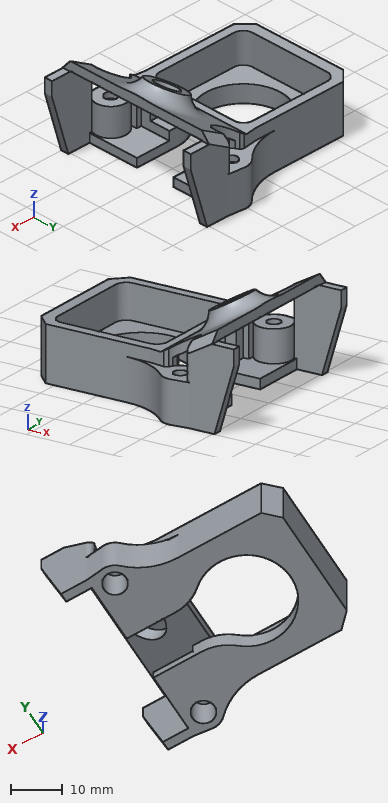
import cadquery as cq
import math

box_length = 30.0
box_width = 30.0
box_height = 12.35
corner_chamfer = 3.1
wall_x = 2.8
cavity_size = 25.4
cavity_radius = 2.5
cavity_floor = 4.5
cavity_center = wall_x + cavity_size / 2
cavity_end = wall_x + cavity_size

opening_radius = 10.0
neck_half_width = 5.0
neck_blend_radius = 10.0

slope = math.radians(30)
plate_thickness = 2.0
plate_end = 45.0
half_width = 20.0
wing_thickness = 2.0
wing_inner = half_width - wing_thickness
wing_start = 39.7
wing_end = 50.0
wing_foot = 45.5
wing_corner_height = 15.0
wing_top = 18.6
wing_tip_reach = 0.95
wing_tip_root_y = 18.35

lug_x = 35.35
lug_y = 16.5
lug_radius = 4.0
lug_height = 9.5
lug_hole = 3.0
lug_recess = 5.0
lug_seat = 1.5
lug_blend_radius = 14.95
lug_shoulder_x = 36.2

shoulder_start = 27.2
shoulder_end = (30.8, 15.45)
shoulder_tip = (31.5, 15.15)
notch_start_x = 32.05

lower_floor = 2.25
lower_floor_start = 30.8
passage_half_width = cavity_size / 2 - cavity_radius

boss_x = 38.0
boss_top_radius = 5.0
boss_base_radius = 9.55
boss_height = 3.0
boss_hole = 6.0
boss_recess = 10.0
boss_roof = 2.0
boss_root = 0.5

tall = 30.0
half_box = box_width / 2
plate_drop = plate_thickness / math.cos(slope)


def plate_z(x):
    """Height of the upper plate face at a given X."""
    return box_height + (x - box_length) * math.tan(slope)


def block(x0, x1, half_y, z0, z1):
    """Box symmetric about Y = 0."""
    solid = cq.Workplane("XY").box(x1 - x0, 2 * half_y, z1 - z0, centered=(False, True, False))
    return solid.translate((x0, 0, z0))


def both_sides(half):
    return half.union(half.mirror("XZ"))


def side_prism(points, half_y):
    """Extrude an XZ outline symmetrically about Y = 0."""
    return cq.Workplane("XZ").polyline(points).close().extrude(half_y, both=True)


def lug_circle_y(x, side):
    return lug_y + side * math.sqrt(lug_radius**2 - (x - lug_x) ** 2)


def lug_base():
    """Lower half-outline: concave blend out of the box, round lug, then the wing."""
    reach = lug_radius + lug_blend_radius
    blend_y = half_box + lug_blend_radius
    blend_x = lug_x - math.sqrt(reach**2 - (blend_y - lug_y) ** 2)
    share = lug_radius / reach
    contact = (lug_x + share * (blend_x - lug_x), lug_y + share * (blend_y - lug_y))
    angle = math.atan2(contact[0] - blend_x, blend_y - contact[1]) / 2
    blend_mid = (
        blend_x + lug_blend_radius * math.sin(angle),
        blend_y - lug_blend_radius * math.cos(angle),
    )
    return (
        cq.Workplane("XY")
        .moveTo(blend_x, 0)
        .lineTo(blend_x, half_box)
        .threePointArc(blend_mid, contact)
        .threePointArc((lug_x, lug_y + lug_radius), (lug_shoulder_x, lug_circle_y(lug_shoulder_x, 1)))
        .lineTo(wing_start, half_width)
        .lineTo(wing_start, 0)
        .close()
        .extrude(lug_height)
    )


def upper_half():
    """Prism under the plate, notched around the lug."""
    notch_end_x = lug_x + math.sqrt(lug_radius**2 - (wing_tip_root_y - lug_y) ** 2)
    tip = (wing_start - wing_tip_reach, wing_inner + wing_tip_reach)
    return (
        cq.Workplane("XY")
        .moveTo(shoulder_start, 0)
        .lineTo(shoulder_start, half_box)
        .lineTo(*shoulder_end)
        .threePointArc(shoulder_tip, (notch_start_x, lug_circle_y(notch_start_x, -1)))
        .threePointArc((lug_x, lug_y - lug_radius), (notch_end_x, wing_tip_root_y))
        .threePointArc(tip, (wing_start, half_width))
        .lineTo(wing_end, half_width)
        .lineTo(wing_end, 0)
        .close()
        .extrude(tall)
    )


def side_limits():
    """Side silhouette of the plate and wings."""
    return side_prism(
        [
            (shoulder_start, 0),
            (shoulder_start, box_height),
            (box_length, box_height),
            (plate_end, plate_z(plate_end)),
            (plate_end, wing_top),
            (wing_end, wing_top),
            (wing_end, wing_corner_height),
            (wing_foot, 0),
        ],
        half_width,
    )


def edge_chamfer():
    """Wedge that bevels the long side edge of the sloping plate."""
    plane = cq.Plane((box_length, 0, box_height), (0, 1, 0), (math.cos(slope), 0, math.sin(slope)))
    return (
        cq.Workplane(plane)
        .moveTo(wing_inner, 0)
        .lineTo(half_width, -plate_thickness)
        .lineTo(half_width, 0)
        .close()
        .extrude((plate_end - box_length) / math.cos(slope))
    )


def hollow():
    """Space below the plate; its roof is parallel to the plate."""
    roof = side_prism(
        [
            (cavity_end, 0),
            (cavity_end, plate_z(cavity_end) - plate_drop),
            (plate_end, plate_z(plate_end) - plate_drop),
            (plate_end, tall),
            (wing_end, tall),
            (wing_end, 0),
        ],
        half_width,
    )
    half_cavity = cavity_size / 2
    room = block(cavity_end, lower_floor_start, passage_half_width, cavity_floor, tall)
    room = room.union(block(lower_floor_start, notch_start_x, half_cavity, lower_floor, tall))
    room = room.union(block(notch_start_x, wing_start, wing_inner, lower_floor, tall))
    room = room.union(block(wing_start, wing_end, wing_inner, 0, tall))
    return room.intersect(roof).cut(lug_cylinders(lug_radius, 0, lug_height))


def keyhole():
    """Round opening whose neck runs out below the plate."""
    reach = opening_radius + neck_blend_radius
    blend_y = neck_half_width + neck_blend_radius
    blend_dx = math.sqrt(reach**2 - blend_y**2)
    blend_x = cavity_center + blend_dx
    share = opening_radius / reach
    contact_x = cavity_center + share * blend_dx
    contact_y = share * blend_y
    angle = math.atan2(blend_dx, blend_y) / 2
    mid_x = blend_x - neck_blend_radius * math.sin(angle)
    mid_y = blend_y - neck_blend_radius * math.cos(angle)
    return (
        cq.Workplane("XY")
        .moveTo(wing_end, -neck_half_width)
        .lineTo(blend_x, -neck_half_width)
        .threePointArc((mid_x, -mid_y), (contact_x, -contact_y))
        .threePointArc((cavity_center - opening_radius, 0), (contact_x, contact_y))
        .threePointArc((mid_x, mid_y), (blend_x, neck_half_width))
        .lineTo(wing_end, neck_half_width)
        .close()
        .extrude(cavity_floor)
    )


def boss_plane():
    """Plane on the plate whose Y axis is the boss axis."""
    return cq.Plane((boss_x, 0, plate_z(boss_x)), (math.cos(slope), 0, math.sin(slope)), (0, -1, 0))


def boss():
    """Boss with a concave flare that runs out tangent to the plate."""
    run = boss_base_radius - boss_top_radius
    flare_radius = (run**2 + boss_height**2) / (2 * boss_height)
    angle = math.atan2(run, flare_radius - boss_height) / 2
    flare_mid = (
        boss_base_radius - flare_radius * math.sin(angle),
        flare_radius * (1 - math.cos(angle)),
    )
    body = (
        cq.Workplane(boss_plane())
        .moveTo(0, -boss_root)
        .lineTo(boss_base_radius, -boss_root)
        .lineTo(boss_base_radius, 0)
        .threePointArc(flare_mid, (boss_top_radius, boss_height))
        .lineTo(0, boss_height)
        .close()
        .revolve(360, (0, 0, 0), (0, 1, 0))
    )
    return body.intersect(block(cavity_end, plate_end, half_width, 0, tall))


def boss_bore():
    """Through hole that opens into a wider round recess below the boss."""
    bottom = -2 * plate_thickness
    recess_top = boss_height - boss_roof
    return (
        cq.Workplane(boss_plane())
        .moveTo(0, bottom)
        .lineTo(boss_recess / 2, bottom)
        .lineTo(boss_recess / 2, recess_top)
        .lineTo(boss_hole / 2, recess_top)
        .lineTo(boss_hole / 2, boss_height)
        .lineTo(0, boss_height)
        .close()
        .revolve(360, (0, 0, 0), (0, 1, 0))
    )


def lug_cylinders(radius, bottom, height):
    """One upright cylinder on each lug axis."""
    plane = cq.Workplane("XY").workplane(offset=bottom)
    return plane.pushPoints([(lug_x, lug_y), (lug_x, -lug_y)]).circle(radius).extrude(height)


frame = block(0, box_length, half_box, 0, box_height)
frame = frame.edges("|Z and <X").chamfer(corner_chamfer)
plate = both_sides(upper_half()).intersect(side_limits()).cut(both_sides(edge_chamfer()))
body = frame.union(both_sides(lug_base())).union(plate)

body = body.cut(lug_cylinders(lug_radius, lug_height, tall))

cavity = block(wall_x, cavity_end, cavity_size / 2, cavity_floor, box_height)
cavity = cavity.edges("|Z").fillet(cavity_radius)
body = body.cut(hollow()).cut(cavity).cut(keyhole())

body = body.union(boss()).cut(boss_bore())
body = body.cut(lug_cylinders(lug_hole / 2, 0, lug_height))
result = body.cut(lug_cylinders(lug_recess / 2, 0, lug_height - lug_seat))